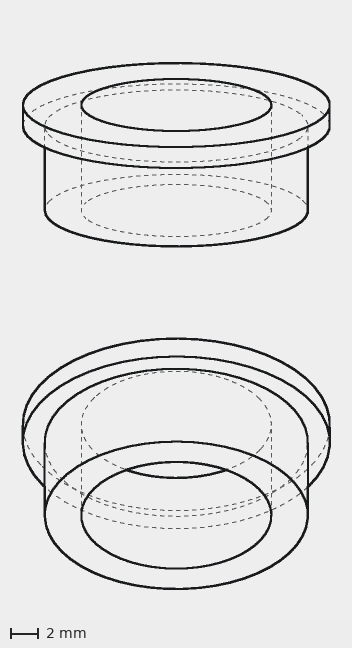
import cadquery as cq

flange_diameter = 22.23
barrel_diameter = 19.05
bore_diameter = 13.75
total_height = 7.94
flange_thickness = 1.58
barrel_height = total_height - flange_thickness

barrel = cq.Workplane("XY").circle(barrel_diameter / 2).extrude(barrel_height)

flanged_body = (
    barrel.faces(">Z")
    .workplane()
    .circle(flange_diameter / 2)
    .extrude(flange_thickness)
)

result = flanged_body.faces(">Z").workplane().hole(bore_diameter)